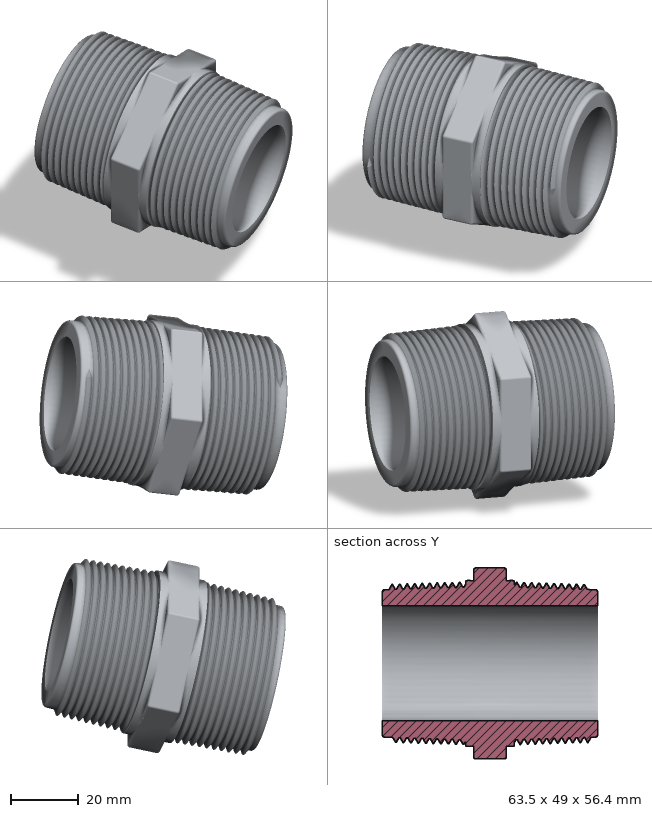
import cadquery as cq
import math

length = 63.5
bore_diameter = 33.78
across_flats = 49.02
hex_width = 9.75
collar_diameter = across_flats
collar_span = 14.3
edge_radius = 0.762

flare_radius = 0.6
run_out_width = 11.94

pitch = 25.4 / 11.5
taper = 1 / 32
root_radius_at_end = 21.77
thread_depth = 1.65
flank_angle = 30
thread_start = 2.41
thread_sink = 0.15
lead_in_angle = 8

half_length = length / 2
thread_end = half_length - collar_span / 2 + pitch / 2


def root_radius(depth):
    """Radius at the bottom of the thread, at a distance from the end of the nipple."""
    return root_radius_at_end + taper * depth


def tapered_pipe():
    """Solid -X half of the pipe, widening towards the middle, with a rounded end edge."""
    profile = (
        cq.Workplane("XY")
        .moveTo(-half_length, 0)
        .lineTo(-half_length, root_radius(0))
        .lineTo(0, root_radius(half_length))
        .lineTo(0, 0)
        .close()
    )
    pipe = profile.revolve(360, (0, 0, 0), (1, 0, 0))
    return pipe.faces("<X").edges().fillet(edge_radius)


def pointed_lead_in(section, outline, tip):
    """Pyramid from the triangular thread section down to a point."""
    faces = [cq.Face.makeFromWires(outline)]
    for i in range(len(section)):
        side = cq.Wire.makePolygon([section[i - 1], section[i], tip], close=True)
        faces.append(cq.Face.makeFromWires(side))
    return cq.Workplane(cq.Solid.makeSolid(cq.Shell.makeShell(faces)))


def thread():
    """Right-hand ridge of the -X thread, starting from a point on the +Y side."""
    lead_in_rise = pitch * lead_in_angle / 360
    helix_start = thread_start + lead_in_rise
    base_radius = root_radius(helix_start) - thread_sink
    ridge_height = thread_depth + thread_sink
    half_base = ridge_height * math.tan(math.radians(flank_angle))
    section = [
        cq.Vector(base_radius, 0, -half_base),
        cq.Vector(base_radius, 0, half_base),
        cq.Vector(base_radius + ridge_height, 0, 0),
    ]
    outline = cq.Wire.makePolygon(section, close=True)
    helix = cq.Wire.makeHelix(
        pitch,
        thread_end - helix_start,
        base_radius,
        angle=math.degrees(math.atan(taper)),
    )
    ridge = cq.Workplane(cq.Solid.sweep(outline, [], helix, makeSolid=True, isFrenet=True))

    lead_in = math.radians(lead_in_angle)
    tip = cq.Vector(
        base_radius * math.cos(lead_in),
        -base_radius * math.sin(lead_in),
        -lead_in_rise,
    )
    ridge = ridge.union(pointed_lead_in(section, outline, tip))
    return (
        ridge.translate((0, 0, helix_start - half_length))
        .rotate((0, 0, 0), (0, 0, 1), 90 + lead_in_angle)
        .rotate((0, 0, 0), (0, 1, 0), 90)
    )


def hex_prism():
    """Hexagon with two flats facing +Y and -Y and its six corner edges rounded."""
    corner_radius = across_flats / 2 / math.cos(math.pi / 6)
    corner_angles = [math.radians(30 + 60 * i) for i in range(6)]
    corners = [
        (corner_radius * math.cos(angle), corner_radius * math.sin(angle))
        for angle in corner_angles
    ]
    prism = cq.Workplane("YZ").polyline(corners).close().extrude(hex_width / 2, both=True)
    return prism.edges("|X").fillet(edge_radius)


def flared_envelope():
    """Round solid that starts at the collar diameter on each hexagon face and flares outwards."""
    face = hex_width / 2
    collar_radius = collar_diameter / 2
    flared_face = face - flare_radius
    flared_radius = collar_radius + flare_radius
    envelope_radius = across_flats
    arc_offset = flare_radius * math.sqrt(0.5)
    arc_middle = (face - arc_offset, flared_radius - arc_offset)
    profile = (
        cq.Workplane("XY")
        .moveTo(-face, 0)
        .lineTo(-face, collar_radius)
        .threePointArc((-arc_middle[0], arc_middle[1]), (-flared_face, flared_radius))
        .lineTo(-flared_face, envelope_radius)
        .lineTo(flared_face, envelope_radius)
        .lineTo(flared_face, flared_radius)
        .threePointArc(arc_middle, (face, collar_radius))
        .lineTo(face, 0)
        .close()
    )
    return profile.revolve(360, (0, 0, 0), (1, 0, 0))


def hexagon():
    """Hexagon with rounded face edges, which give way to the flare at the middle of each flat."""
    prism = hex_prism()
    body = prism.faces("<X or >X").edges().fillet(edge_radius)
    flared_prism = prism.intersect(flared_envelope())
    for angle in (0, 60, 120):
        band = cq.Workplane("XY").box(hex_width, 2 * across_flats, run_out_width)
        band = band.rotate((0, 0, 0), (1, 0, 0), angle)
        body = body.union(flared_prism.intersect(band))
    return body


collars = cq.Workplane("YZ").circle(collar_diameter / 2).extrude(collar_span / 2, both=True)
bore = cq.Workplane("YZ").circle(bore_diameter / 2).extrude(half_length, both=True)

middle = hexagon().union(collars).cut(bore)
left_end = tapered_pipe().cut(bore).union(thread())
right_end = left_end.rotate((0, 0, 0), (0, 1, 0), 180)

result = middle.union(left_end).union(right_end)